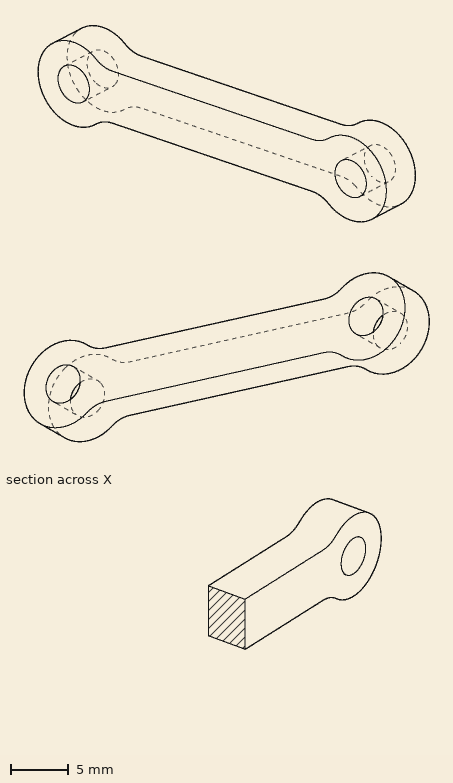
import cadquery as cq

length = 39.0
thickness = 4.0
eye_diameter = 8.0

hole_diameter = 3.5
bar_height = 5.0
neck_radius = 3.0

eye_spacing = length - eye_diameter
eye_centers = [(-eye_spacing / 2, 0), (eye_spacing / 2, 0)]


def back_plane():
    """XZ plane on the +Y face; extruding from it runs toward -Y."""
    return cq.Workplane("XZ", origin=(0, thickness / 2, 0))


def eye_cylinders(diameter):
    """Full-thickness cylinders along Y at both eye centres."""
    return back_plane().pushPoints(eye_centers).circle(diameter / 2).extrude(thickness)


bar = back_plane().rect(eye_spacing, bar_height).extrude(thickness)
link = bar.union(eye_cylinders(eye_diameter))

between_eyes = cq.selectors.BoxSelector(
    (-eye_spacing / 2, -thickness, -bar_height),
    (eye_spacing / 2, thickness, bar_height),
)
link = link.edges("|Y").edges(between_eyes).fillet(neck_radius)

result = link.cut(eye_cylinders(hole_diameter))